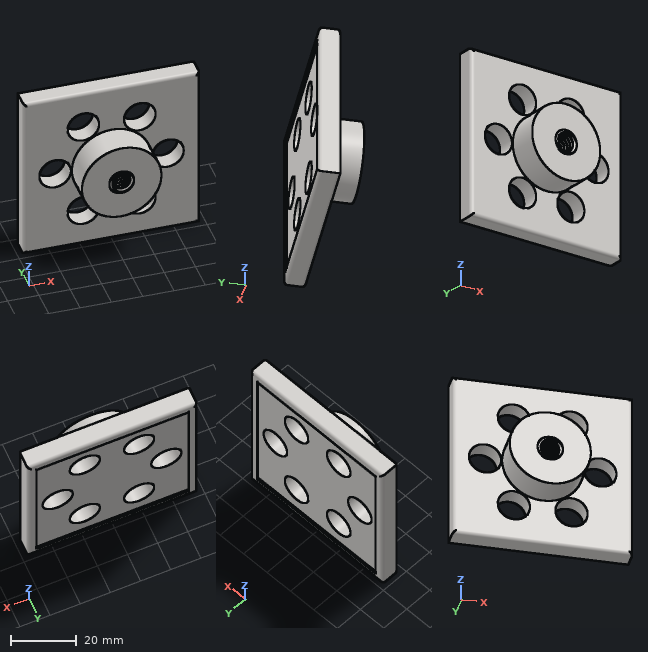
import cadquery as cq

plate_side = 56.3
plate_thickness = 6.9
edge_radius = 1.2

recess_rim = 2.8
recess_side = plate_side - 2 * recess_rim
recess_depth = 0.55

total_depth = 17.15
boss_diameter = 25.4
boss_length = total_depth - plate_thickness

ring_hole_count = 6
ring_hole_diameter = 10.0
ring_radius = 18.0

bore_diameter = 7.95
bore_radius = bore_diameter / 2
bore_depth = boss_length

crest_diameter = 5.85
crest_radius = crest_diameter / 2
thread_pitch = 1.45
crest_width = 0.2
root_width = 1.3
thread_start_angle = 165.0


def cylinder(diameter, front_y, length):
    """Cylinder on the Y axis, running from front_y toward +Y."""
    return cq.Workplane("XZ", origin=(0, front_y, 0)).circle(diameter / 2).extrude(-length)


def make_housing():
    """Plate with rounded edges, back recess, ring of holes and bored boss."""
    plate = cq.Workplane("XY").box(plate_side, plate_thickness, plate_side)
    plate = plate.translate((0, plate_thickness / 2, 0))
    plate = plate.faces("<Y or >Y").edges().fillet(edge_radius)
    recess = cq.Workplane("XZ", origin=(0, plate_thickness - recess_depth, 0))
    recess = recess.rect(recess_side, recess_side).extrude(-recess_depth)
    ring_holes = (
        cq.Workplane("XZ")
        .polarArray(ring_radius, 0, 360, ring_hole_count)
        .circle(ring_hole_diameter / 2)
        .extrude(-plate_thickness)
    )
    boss = cylinder(boss_diameter, -boss_length, boss_length)
    bore = cylinder(bore_diameter, -boss_length, bore_depth)
    return plate.cut(recess).cut(ring_holes).union(boss).cut(bore)


def make_thread():
    """Right-hand helical ridge, seated on the bore wall and cut flat at the bore floor and boss face."""
    helix = cq.Wire.makeHelix(thread_pitch, bore_depth + 2 * thread_pitch, bore_radius)
    ridge = (
        cq.Workplane("XZ")
        .polyline([
            (crest_radius, -crest_width / 2),
            (bore_radius, -root_width / 2),
            (bore_radius, root_width / 2),
            (crest_radius, crest_width / 2),
        ])
        .close()
        .sweep(cq.Workplane(obj=helix), isFrenet=True)
    )
    ridge = ridge.rotate((0, 0, 0), (1, 0, 0), -90)
    ridge = ridge.rotate((0, 0, 0), (0, 1, 0), -thread_start_angle)
    ridge = ridge.translate((0, -boss_length - thread_pitch, 0))
    bore_space = cq.Workplane("XY").box(boss_diameter, bore_depth, boss_diameter)
    bore_space = bore_space.translate((0, bore_depth / 2 - boss_length, 0))
    return ridge.intersect(bore_space)


housing = make_housing()
thread = make_thread()
result = cq.Compound.makeCompound([housing.solids().val(), thread.solids().val()])